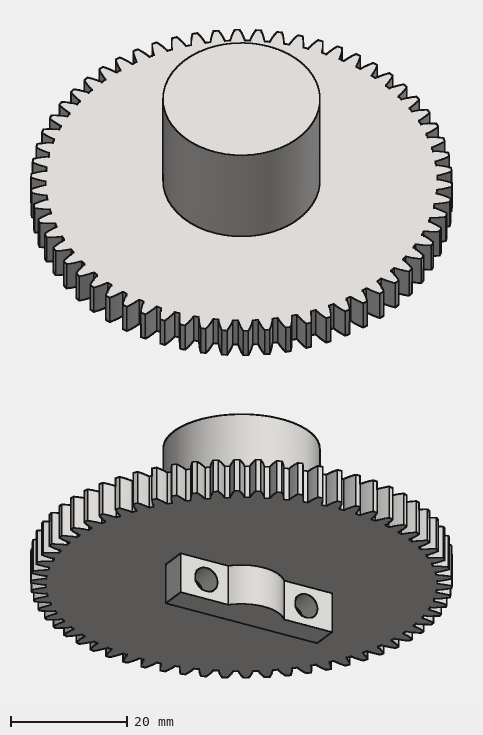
import cadquery as cq
import math

tooth_count = 62
tip_diameter = 72.45
pressure_angle = math.radians(20)
gear_thickness = 6.0
dedendum_factor = 1.25
module = tip_diameter / (tooth_count + 2)
pitch_radius = module * tooth_count / 2
tip_radius = tip_diameter / 2
root_radius = pitch_radius - dedendum_factor * module
base_radius = pitch_radius * math.cos(pressure_angle)

boss_diameter = 27.0
boss_height = 20.0

mount_height = 7.45
mount_length = 30.3
ear_thickness = 5.0
hub_diameter = 15.0
screw_hole_diameter = 4.5
screw_hole_spacing = 20.0


def involute(angle):
    return math.tan(angle) - angle


def polar(radius, angle):
    return (radius * math.cos(angle), radius * math.sin(angle))


def half_tooth_angle(radius):
    """Angle from the centre line of a tooth to its involute flank."""
    flank_angle = math.acos(base_radius / radius)
    at_pitch = math.pi / (2 * tooth_count)
    return at_pitch + involute(pressure_angle) - involute(flank_angle)


def make_gear():
    """Spur gear standing on Z = 0, with involute flanks drawn as arcs."""
    tooth_pitch = 2 * math.pi / tooth_count
    first_tooth = math.pi / 2
    root_half = half_tooth_angle(root_radius)
    pitch_half = half_tooth_angle(pitch_radius)
    tip_half = half_tooth_angle(tip_radius)

    outline = cq.Workplane("XY").moveTo(*polar(root_radius, first_tooth - root_half))
    for index in range(tooth_count):
        tooth = first_tooth + index * tooth_pitch
        next_tooth = tooth + tooth_pitch
        outline = (
            outline
            .threePointArc(polar(pitch_radius, tooth - pitch_half), polar(tip_radius, tooth - tip_half))
            .threePointArc(polar(tip_radius, tooth), polar(tip_radius, tooth + tip_half))
            .threePointArc(polar(pitch_radius, tooth + pitch_half), polar(root_radius, tooth + root_half))
            .threePointArc(
                polar(root_radius, tooth + tooth_pitch / 2),
                polar(root_radius, next_tooth - root_half),
            )
        )
    return outline.close().extrude(gear_thickness)


def make_boss():
    return (
        cq.Workplane("XY", origin=(0, 0, gear_thickness))
        .circle(boss_diameter / 2)
        .extrude(boss_height)
    )


def make_mount():
    ears = cq.Workplane("XY").box(ear_thickness, mount_length, mount_height, centered=(False, True, False))
    ears = ears.translate((-ear_thickness, 0, -mount_height))

    hub_radius = hub_diameter / 2
    hub = (
        cq.Workplane("XY", origin=(0, 0, -mount_height))
        .moveTo(0, hub_radius)
        .threePointArc((-hub_radius, 0), (0, -hub_radius))
        .close()
        .extrude(mount_height)
    )

    screw_holes = (
        cq.Workplane("YZ", origin=(0, 0, -mount_height / 2))
        .pushPoints([(-screw_hole_spacing / 2, 0), (screw_hole_spacing / 2, 0)])
        .circle(screw_hole_diameter / 2)
        .extrude(-ear_thickness)
    )
    return ears.union(hub).cut(screw_holes)


result = make_gear().union(make_boss()).union(make_mount())